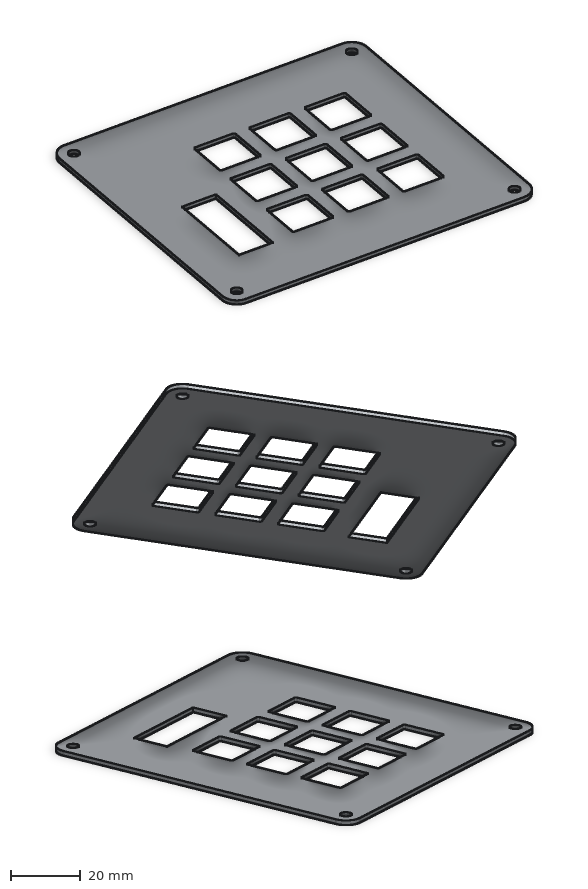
import cadquery as cq

plate_width = 95.2
plate_length = 105.6
plate_thickness = 1.5
corner_radius = 5.0

screw_hole_diameter = 3.4

keys_per_side = 3
key_pitch = 19.0
key_cutout_size = 14.0
key_corner_radius = 0.5
key_grid_x = 0.1
key_grid_y = 8.5

window_width = 29.8
window_height = 11.6
window_x = 12.6
window_y = -31.3


def make_plate():
    """Flat plate with rounded corners, resting on Z = 0."""
    plate = cq.Workplane("XY").rect(plate_width, plate_length).extrude(plate_thickness)
    return plate.edges("|Z").fillet(corner_radius)


def make_screw_holes():
    """One through hole at the centre of each corner arc."""
    spacing_x = plate_width - 2 * corner_radius
    spacing_y = plate_length - 2 * corner_radius
    return (
        cq.Workplane("XY")
        .rect(spacing_x, spacing_y, forConstruction=True)
        .vertices()
        .circle(screw_hole_diameter / 2)
        .extrude(plate_thickness)
    )


def make_key_cutouts():
    """Grid of separate square cutters with slightly rounded corners."""
    return (
        cq.Workplane("XY")
        .center(key_grid_x, key_grid_y)
        .rarray(key_pitch, key_pitch, keys_per_side, keys_per_side)
        .rect(key_cutout_size, key_cutout_size)
        .extrude(plate_thickness)
        .edges("|Z")
        .fillet(key_corner_radius)
    )


def make_display_window():
    """Sharp-cornered rectangular cutter."""
    return (
        cq.Workplane("XY")
        .center(window_x, window_y)
        .rect(window_width, window_height)
        .extrude(plate_thickness)
    )


result = make_plate().cut(make_screw_holes()).cut(make_key_cutouts()).cut(make_display_window())